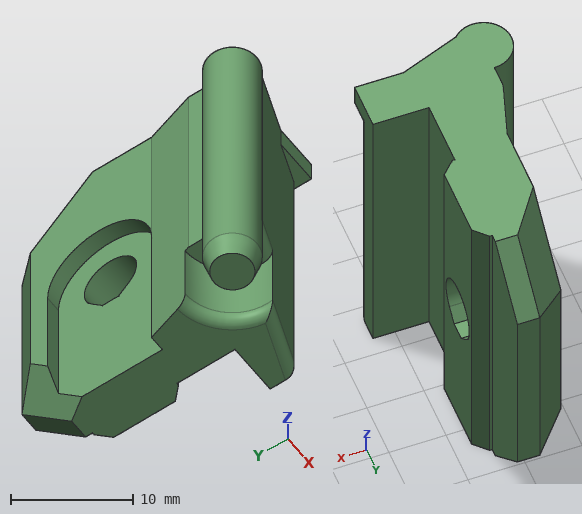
import cadquery as cq
import math

HEIGHT = 28.0
ROUND = 1.0

PIN_RADIUS = 2.45
PIN_TIP_RADIUS = 1.85
PIN_TIP_HEIGHT = 2.0

RELIEF_RADIUS = 4.87
RELIEF_HEIGHT = 7.0

LEAF_FRONT_X = 1.5
LEAF_BACK_X = 6.5
LEAF_END_Y = 24.485
CORNER_CUT = 5.0
BEVEL = 3.02
NECK_START_Y = 4.42
NECK_END_Y = 9.25

RIB_X = 7.87
RIB_START_Y = 10.28
RIB_END_Y = 18.8
RIB_STEP = 0.22
RIB_CHAMFER = RIB_X - LEAF_BACK_X - RIB_STEP

FLANGE_END_X = 11.41
LIP_HEIGHT = 2.0
LIP_START_X = 7.1
LIP_Y = 0.25
SLOPE_ANGLE = math.radians(20)

RECESS_WIDTH = 10.47
RECESS_DEPTH = 1.5
HOLE_Y = NECK_END_Y + RECESS_WIDTH / 2
HOLE_Z = HEIGHT / 2
HOLE_RADIUS = 2.63
HOLE_FLAT_DROP = 2.9


def slope_y(x):
    return LIP_Y + (x - LIP_START_X) * math.tan(SLOPE_ANGLE)


def make_leaf():
    """Flat plate with two cut corners and a bevel around its free end."""
    outline = [
        (NECK_END_Y, 0),
        (LEAF_END_Y - CORNER_CUT, 0),
        (LEAF_END_Y, CORNER_CUT),
        (LEAF_END_Y, HEIGHT - CORNER_CUT),
        (LEAF_END_Y - CORNER_CUT, HEIGHT),
        (NECK_END_Y, HEIGHT),
    ]
    thickness = LEAF_BACK_X - LEAF_FRONT_X
    plate = cq.Workplane("YZ", origin=(LEAF_FRONT_X, 0, 0)).polyline(outline).close().extrude(thickness)
    free_end = cq.selectors.BoxSelector(
        (LEAF_FRONT_X - 0.28, LEAF_END_Y - CORNER_CUT + 0.28, -0.28),
        (LEAF_FRONT_X + 0.28, LEAF_END_Y + 0.28, HEIGHT + 0.28),
    )
    return plate.edges(free_end).chamfer(BEVEL)


def make_rib():
    shoulder_x = LEAF_BACK_X + RIB_STEP
    return (
        cq.Workplane("XY")
        .moveTo(LEAF_BACK_X, RIB_START_Y)
        .lineTo(shoulder_x, RIB_START_Y)
        .lineTo(RIB_X, RIB_START_Y + RIB_CHAMFER)
        .lineTo(RIB_X, RIB_END_Y - RIB_CHAMFER)
        .lineTo(shoulder_x, RIB_END_Y)
        .lineTo(LEAF_BACK_X, RIB_END_Y)
        .close()
        .extrude(HEIGHT)
    )


def make_knuckle():
    """Neck and flange joining the pin to the leaf, with the slope along one side."""
    outline = [
        (0, slope_y(0)),
        (FLANGE_END_X, slope_y(FLANGE_END_X)),
        (FLANGE_END_X, NECK_START_Y),
        (LEAF_BACK_X, NECK_START_Y),
        (LEAF_BACK_X, NECK_END_Y),
        (LEAF_FRONT_X, NECK_END_Y),
        (0, NECK_START_Y),
    ]
    knuckle = cq.Workplane("XY").polyline(outline).close().extrude(HEIGHT)
    slope_end = cq.selectors.NearestToPointSelector((FLANGE_END_X, slope_y(FLANGE_END_X), HEIGHT / 2))
    return knuckle.edges("|Z").edges(slope_end).fillet(ROUND)


def make_lip():
    return (
        cq.Workplane("XY", origin=(0, 0, HEIGHT - LIP_HEIGHT))
        .moveTo(LIP_START_X, LIP_Y)
        .lineTo(FLANGE_END_X, LIP_Y)
        .lineTo(FLANGE_END_X, NECK_START_Y)
        .lineTo(LIP_START_X, NECK_START_Y)
        .close()
        .extrude(LIP_HEIGHT)
    )


def corner_round(workplane, x, sign):
    """Corner waste outside a quarter circle; the material lies on the given side of x."""
    mid = ROUND * (1 - math.sqrt(0.5))
    return (
        workplane.moveTo(x, 0)
        .lineTo(x, ROUND)
        .threePointArc((x + sign * mid, mid), (x + sign * ROUND, 0))
        .close()
    )


def slope_round(z):
    """Cutter rounding a lower edge of the sloping side at height z."""
    along = (-math.cos(SLOPE_ANGLE), -math.sin(SLOPE_ANGLE), 0)
    outward = (math.sin(SLOPE_ANGLE), -math.cos(SLOPE_ANGLE), 0)
    plane = cq.Plane(origin=(LIP_START_X, LIP_Y, z), xDir=outward, normal=along)
    return corner_round(cq.Workplane(plane), 0, -1).extrude(2 * FLANGE_END_X, both=True)


def make_relief():
    """Cylindrical space around the pin, flared at the foot, with a rounded upper front edge."""
    space = cq.Workplane("XY").circle(RELIEF_RADIUS).extrude(RELIEF_HEIGHT)
    flare = corner_round(cq.Workplane("XZ"), RELIEF_RADIUS, 1).revolve(360, (0, 0, 0), (0, 1, 0))
    column = cq.Workplane("XY").circle(RELIEF_RADIUS).extrude(HEIGHT)
    return space.union(flare).union(slope_round(RELIEF_HEIGHT).intersect(column))


def make_pin():
    return (
        cq.Workplane("XZ")
        .lineTo(PIN_TIP_RADIUS, 0)
        .lineTo(PIN_RADIUS, PIN_TIP_HEIGHT)
        .lineTo(PIN_RADIUS, HEIGHT)
        .lineTo(0, HEIGHT)
        .close()
        .revolve(360, (0, 0, 0), (0, 1, 0))
    )


def make_recess():
    """Round-topped recess, open at the foot of the leaf."""
    face = cq.Workplane("YZ", origin=(LEAF_FRONT_X, 0, 0))
    head = face.center(HOLE_Y, HOLE_Z).circle(RECESS_WIDTH / 2).extrude(RECESS_DEPTH)
    shank = face.center(HOLE_Y, HOLE_Z / 2).rect(RECESS_WIDTH, HOLE_Z).extrude(RECESS_DEPTH)
    return head.union(shank)


def make_hole():
    """Round hole whose lower half runs along 45 degree tangents to a flat."""
    tangent = HOLE_RADIUS * math.sqrt(0.5)
    half_flat = 2 * tangent - HOLE_FLAT_DROP
    return (
        cq.Workplane("YZ", origin=(0, HOLE_Y, HOLE_Z))
        .moveTo(-tangent, -tangent)
        .threePointArc((0, HOLE_RADIUS), (tangent, -tangent))
        .lineTo(half_flat, -HOLE_FLAT_DROP)
        .lineTo(-half_flat, -HOLE_FLAT_DROP)
        .close()
        .extrude(RIB_X)
    )


leaf = make_leaf().cut(make_recess()).union(make_rib()).cut(make_hole())
knuckle = make_knuckle().cut(slope_round(0)).cut(make_relief()).union(make_lip())
result = knuckle.union(leaf).union(make_pin())